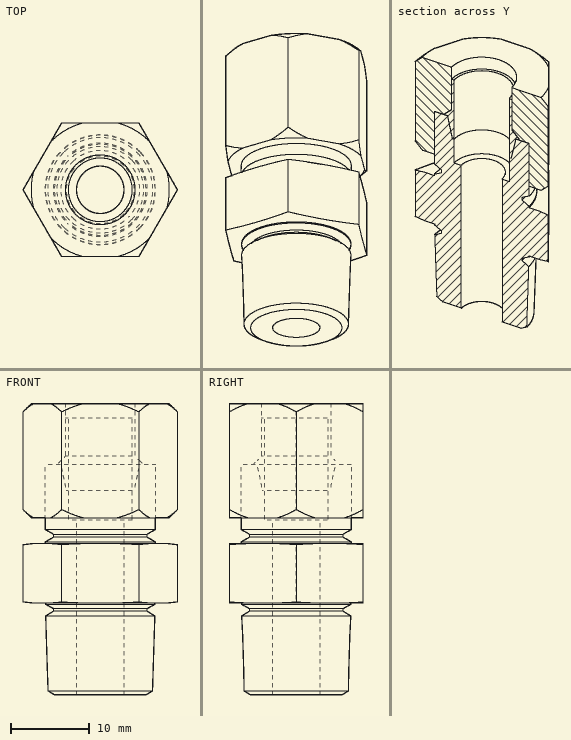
import cadquery as cq
import math

hex_flats = 17.0
hex_corner_radius = hex_flats / math.sqrt(3)

total_height = 37.0
nut_height = 14.5
nut_bottom = total_height - nut_height
body_hex_bottom = 11.65
body_hex_height = 7.6
body_hex_top = body_hex_bottom + body_hex_height
body_top = body_hex_top + 10.0
ring_top = total_height - 1.85

nut_face_radius = 8.77
nut_bevel_angle = 45.0
body_face_radius = hex_flats / 2
body_bevel_angle = 7.0

upper_thread_radius = 7.0
groove_radius = 5.95
upper_groove_top = 21.0
upper_groove_floor_top = 20.4
upper_groove_floor_bottom = 20.05
upper_groove_bottom = 19.45

taper = 1 / 16
lower_thread_radius = 6.95
lower_thread_top = 10.05
lower_groove_floor_bottom = 10.65
lower_groove_floor_top = 10.95
lower_groove_top = 11.5
end_bevel_height = 0.5
end_face_radius = 5.8
lower_thread_end_radius = lower_thread_radius - taper / 2 * (lower_thread_top - end_bevel_height)

flow_radius = 3.0
tube_radius = 4.05
tube_stop = body_top - 7.0
nut_bore_radius = 4.43

seat_half_angle = 12.0
seat_mouth_radius = 5.0
seat_end_radius = 4.3
seat_depth = (seat_mouth_radius - seat_end_radius) / math.tan(math.radians(seat_half_angle))
seat_bottom = body_top - seat_depth
shoulder_radius = 5.5
shoulder_top = body_top + shoulder_radius - nut_bore_radius


def revolve_profile(points):
    """Turn a closed outline of (radius, height) points around the Z axis."""
    return cq.Workplane("XZ").polyline(points).close().revolve(360, (0, 0, 0), (0, 1, 0))


def beveled_hexagon(bottom, height, face_radius, bevel_angle):
    """Hexagonal prism whose corners are cut by a cone at both ends."""
    bevel_drop = (hex_corner_radius - face_radius) * math.tan(math.radians(bevel_angle))
    top = bottom + height
    prism = (
        cq.Workplane("XY")
        .workplane(offset=bottom)
        .polygon(6, 2 * hex_corner_radius)
        .extrude(height)
    )
    envelope = revolve_profile([
        (0, bottom),
        (face_radius, bottom),
        (hex_corner_radius, bottom + bevel_drop),
        (hex_corner_radius, top - bevel_drop),
        (face_radius, top),
        (0, top),
    ])
    return prism.intersect(envelope)


def make_body():
    """Threaded body with its hexagon, grooves, tube socket and flow passage."""
    turned = revolve_profile([
        (0, 0),
        (end_face_radius, 0),
        (lower_thread_end_radius, end_bevel_height),
        (lower_thread_radius, lower_thread_top),
        (groove_radius, lower_groove_floor_bottom),
        (groove_radius, lower_groove_floor_top),
        (lower_thread_radius, lower_groove_top),
        (lower_thread_radius, body_hex_bottom),
        (upper_thread_radius, body_hex_top),
        (upper_thread_radius, upper_groove_bottom),
        (groove_radius, upper_groove_floor_bottom),
        (groove_radius, upper_groove_floor_top),
        (upper_thread_radius, upper_groove_top),
        (upper_thread_radius, body_top),
        (0, body_top),
    ])
    passage = revolve_profile([
        (0, 0),
        (flow_radius, 0),
        (flow_radius, tube_stop),
        (tube_radius, tube_stop),
        (tube_radius, seat_bottom),
        (seat_end_radius, seat_bottom),
        (seat_mouth_radius, body_top),
        (0, body_top),
    ])
    hexagon = beveled_hexagon(body_hex_bottom, body_hex_height, body_face_radius, body_bevel_angle)
    return turned.union(hexagon).cut(passage)


def make_nut():
    """Union nut with a thread bore, a conical shoulder and a tube hole."""
    bore = revolve_profile([
        (0, nut_bottom),
        (upper_thread_radius, nut_bottom),
        (upper_thread_radius, body_top),
        (shoulder_radius, body_top),
        (nut_bore_radius, shoulder_top),
        (nut_bore_radius, total_height),
        (0, total_height),
    ])
    return beveled_hexagon(nut_bottom, nut_height, nut_face_radius, nut_bevel_angle).cut(bore)


def make_ring():
    """Clamping ring wedged between the seat of the body and the shoulder of the nut."""
    return revolve_profile([
        (tube_radius, seat_bottom),
        (seat_end_radius, seat_bottom),
        (seat_mouth_radius, body_top),
        (shoulder_radius, body_top),
        (nut_bore_radius, shoulder_top),
        (nut_bore_radius, ring_top),
        (tube_radius, ring_top),
    ])


body = make_body()
nut = make_nut()
ring = make_ring()

result = cq.Compound.makeCompound([body.val(), nut.val(), ring.val()])